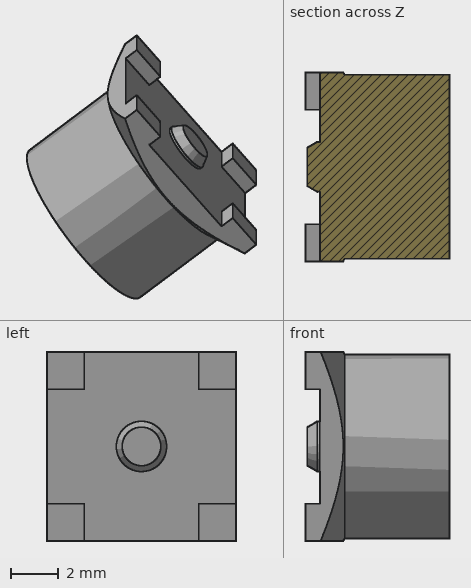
import cadquery as cq
import math

length = 6.03
flange_side = 7.92
body_radius = 3.86

foot_side = 1.57
foot_height = 0.6
shoulder_x = 1.64
back_angle = math.radians(30)

stud_tip_x = 0.07
stud_taper_angle = math.radians(30)
stud_radius = 1.05
stud_tip_radius = 0.81
stud_taper_length = (stud_radius - stud_tip_radius) / math.tan(stud_taper_angle)
stud_taper_end_x = stud_tip_x + stud_taper_length


def revolve_about_x(profile):
    """Revolve a closed profile of (x, radius) points about the X axis."""
    return cq.Workplane("XY").polyline(profile).close().revolve(360, (0, 0), (1, 0))


def make_flange():
    """Square plate whose back is cut to a cone that meets the body."""
    plate = cq.Workplane("YZ").rect(flange_side, flange_side).extrude(shoulder_x)
    envelope_radius = flange_side
    envelope_edge_x = shoulder_x - (envelope_radius - body_radius) * math.tan(back_angle)
    envelope = revolve_about_x([
        (envelope_edge_x, 0),
        (envelope_edge_x, envelope_radius),
        (shoulder_x, body_radius),
        (shoulder_x, 0),
    ])
    return plate.intersect(envelope)


def cut_foot_gaps(flange):
    """Lower the face in a cross-shaped area, leaving four corner feet."""
    gap = flange_side - 2 * foot_side
    for width, height in [(gap, flange_side), (flange_side, gap)]:
        flange = flange.cut(cq.Workplane("YZ").rect(width, height).extrude(foot_height))
    return flange


def make_stud():
    """Short round stud with a tapered tip, rooted on the flange face."""
    return revolve_about_x([
        (stud_tip_x, 0),
        (stud_tip_x, stud_tip_radius),
        (stud_taper_end_x, stud_radius),
        (foot_height, stud_radius),
        (foot_height, 0),
    ])


def make_body():
    """Plain cylinder behind the flange."""
    return cq.Workplane("YZ", origin=(shoulder_x, 0, 0)).circle(body_radius).extrude(length - shoulder_x)


result = cut_foot_gaps(make_flange()).union(make_body()).union(make_stud())